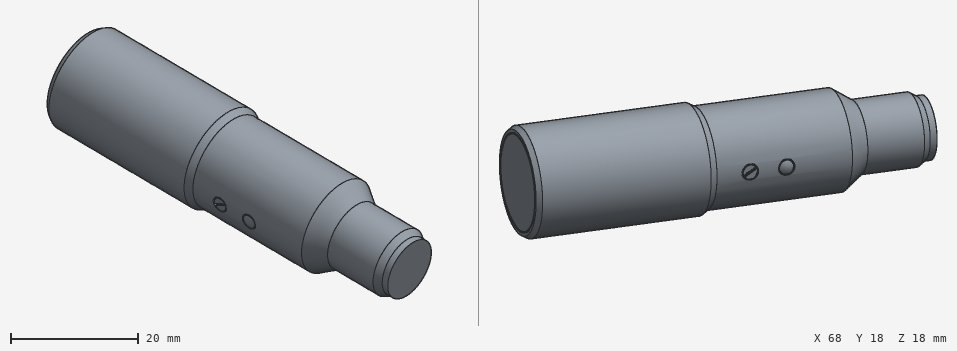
import cadquery as cq
import math

length = 68.0
sleeve_radius = 18.0 / 2
barrel_radius = 16.6 / 2
neck_radius = 12.0 / 2
tip_radius = 10.4 / 2
nose_chamfer_length = 0.9
nose_chamfer_depth = 0.55
sleeve_end = 29.0
barrel_start = 30.2
barrel_end = 52.8
neck_start = 56.2
neck_end = 65.65
tip_start = 66.9

cap_radius = 15.5 / 2
cap_thickness = 0.8
cap_groove_width = 0.2
cap_groove_depth = 0.2

screw_x = 35.8
lamp_x = 41.85
recess_radius = 2.7 / 2
insert_radius = 2.4 / 2
recess_depth = 0.55
screw_sink = 0.1
slot_width = 0.35
slot_depth = 0.3
slot_angle = 30
lamp_rise = 0.3
lamp_edge_sink = 0.1


def make_turned_blank():
    """Stepped round body with its axis on X."""
    profile = [
        (0, 0),
        (0, sleeve_radius - nose_chamfer_depth),
        (nose_chamfer_length, sleeve_radius),
        (sleeve_end, sleeve_radius),
        (barrel_start, barrel_radius),
        (barrel_end, barrel_radius),
        (neck_start, neck_radius),
        (neck_end, neck_radius),
        (tip_start, tip_radius),
        (length, tip_radius),
        (length, 0),
    ]
    return cq.Workplane("XY").polyline(profile).close().revolve(360, (0, 0, 0), (1, 0, 0))


def face_disc(radius, depth):
    """Disc reaching from the X = 0 face into the body."""
    return cq.Workplane("YZ").circle(radius).extrude(depth)


def side_plane(x, depth):
    """Plane facing -Y, sunk the given depth below the barrel surface."""
    origin = (x, depth - barrel_radius, 0)
    return cq.Workplane(cq.Plane(origin=origin, xDir=(1, 0, 0), normal=(0, -1, 0)))


def recess(x):
    """Round pocket cutter that opens through the barrel surface."""
    return side_plane(x, recess_depth).circle(recess_radius).extrude(2 * recess_depth)


def make_screw_head():
    """Flat screw head with a slanted screwdriver slot."""
    head = side_plane(screw_x, recess_depth).circle(insert_radius).extrude(recess_depth - screw_sink)
    slot = (
        side_plane(screw_x, screw_sink + slot_depth)
        .transformed(rotate=(0, 0, slot_angle))
        .rect(2 * insert_radius, slot_width)
        .extrude(slot_depth)
    )
    return head.cut(slot)


def make_lamp():
    """Short round post with a domed end."""
    floor_y = recess_depth - barrel_radius
    edge_y = lamp_edge_sink - barrel_radius
    top_y = -barrel_radius - lamp_rise
    dome_height = lamp_edge_sink + lamp_rise
    dome_radius = (insert_radius**2 + dome_height**2) / (2 * dome_height)
    half_angle = math.asin(insert_radius / dome_radius) / 2
    arc_middle = (
        dome_radius * math.sin(half_angle),
        top_y + dome_radius * (1 - math.cos(half_angle)),
    )
    return (
        cq.Workplane("XY")
        .moveTo(0, floor_y)
        .lineTo(insert_radius, floor_y)
        .lineTo(insert_radius, edge_y)
        .threePointArc(arc_middle, (0, top_y))
        .close()
        .revolve(360, (0, 0, 0), (0, 1, 0))
        .translate((lamp_x, 0, 0))
    )


def make_housing():
    housing = make_turned_blank()
    housing = housing.cut(face_disc(cap_radius, cap_thickness))
    housing = housing.cut(face_disc(cap_radius + cap_groove_width, cap_groove_depth))
    for x in (screw_x, lamp_x):
        housing = housing.cut(recess(x))
    return housing.union(make_screw_head()).union(make_lamp())


housing = make_housing()
cap = face_disc(cap_radius, cap_thickness)

result = cq.Compound.makeCompound([housing.solids().val(), cap.val()])